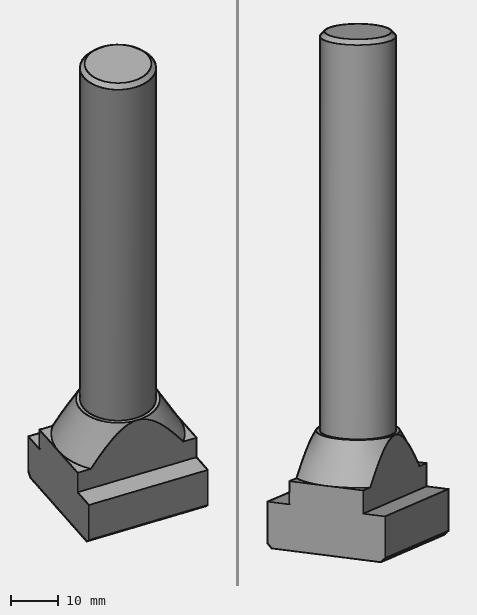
import cadquery as cq

HEAD_SIDE = 28.0
HEAD_HEIGHT = 10.0
HEAD_CHAMFER = 1.0

NECK_WIDTH = 17.6
NECK_TOP = 15.0

COLLAR_BASE_DIAMETER = HEAD_SIDE
COLLAR_TOP_DIAMETER = NECK_WIDTH
COLLAR_TOP = 24.0

SHANK_DIAMETER = 16.0
SHANK_CHAMFER = 1.0
TOTAL_HEIGHT = 110.0


def make_head():
    """Square head with its two lower edges along Y chamfered."""
    head = cq.Workplane("XY").box(HEAD_SIDE, HEAD_SIDE, HEAD_HEIGHT, centered=(True, True, False))
    return head.faces("<Z").edges("|Y").chamfer(HEAD_CHAMFER)


def make_neck_block(top):
    """Block of neck width standing on the head and reaching up to the given height."""
    return (
        cq.Workplane("XY")
        .workplane(offset=HEAD_HEIGHT)
        .rect(NECK_WIDTH, HEAD_SIDE)
        .extrude(top - HEAD_HEIGHT)
    )


def make_collar():
    """Cone above the neck, cut flat on both sides to the neck width."""
    cone = (
        cq.Workplane("XY")
        .workplane(offset=NECK_TOP)
        .circle(COLLAR_BASE_DIAMETER / 2)
        .workplane(offset=COLLAR_TOP - NECK_TOP)
        .circle(COLLAR_TOP_DIAMETER / 2)
        .loft(ruled=True)
    )
    return cone.intersect(make_neck_block(COLLAR_TOP))


def make_shank():
    """Round shank with a chamfered free end."""
    return (
        cq.Workplane("XY")
        .workplane(offset=COLLAR_TOP)
        .circle(SHANK_DIAMETER / 2)
        .extrude(TOTAL_HEIGHT - COLLAR_TOP)
        .faces(">Z")
        .chamfer(SHANK_CHAMFER)
    )


result = make_head().union(make_neck_block(NECK_TOP)).union(make_collar()).union(make_shank())